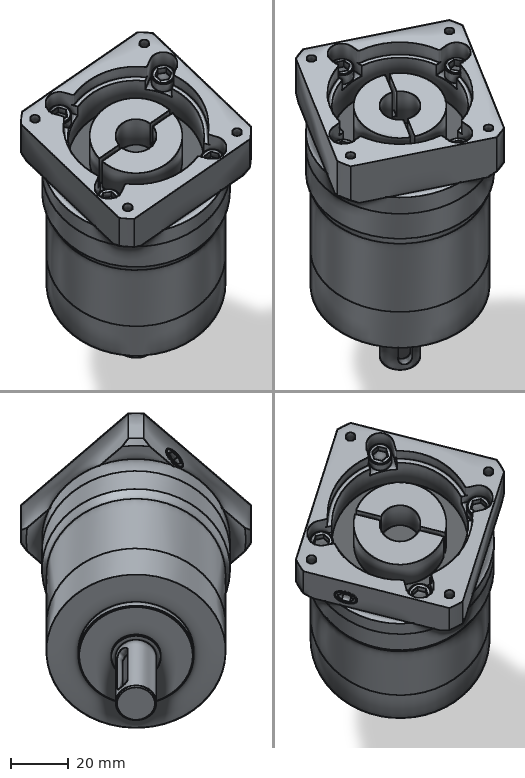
import cadquery as cq
import math


SHOULDER_BOTTOM = 31.0
PILOT_BOTTOM = 32.0
FLANGE_BOTTOM = 35.0
RING_BOTTOM = 52.4
FLARE_BOTTOM = 85.5
FLARE_TOP = 89.5
COLLAR_BOTTOM = 101.5
PLATE_BOTTOM = 109.5
TOP = 128.0

SHAFT_RADIUS = 7.0
SHOULDER_RADIUS = 8.6
PILOT_RADIUS = 20.0
BODY_RADIUS = 31.0
COLLAR_RADIUS = 32.5

SHAFT_CHAMFER = 0.5
PILOT_CHAMFER = 0.4
KEYWAY_WIDTH = 5.0
KEYWAY_DEPTH = 3.0
KEYWAY_LENGTH = 25.0
KEYWAY_CENTRE_Z = 15.5

PLATE_WIDTH = 59.9
PLATE_CORNER_RADIUS = 39.8
PLATE_CHAMFER = 1.9

UPPER_BORE_RADIUS = 25.1
LOWER_BORE_RADIUS = 23.5
BORE_STEP_DEPTH = 6.0
BORE_DEPTH = 21.1

MOTOR_HOLE_SPACING = 49.5
MOTOR_HOLE_RADIUS = 1.7
MOTOR_HOLE_DEPTH = 12.0
DRILL_POINT_ANGLE = 118.0

SCREW_COUNT = 4
SCREW_FIRST_ANGLE = 30.0
SCREW_CIRCLE_RADIUS = 28.0
POCKET_RADIUS = 4.9
POCKET_DEPTH = 11.0
POCKET_MOUTH_FILLET = 0.8
HEAD_RADIUS = 4.1
HEAD_HEIGHT = 4.7
HEAD_CHAMFER = 0.4
HEX_WIDTH = 5.0
HEX_DEPTH = 3.0

SIDE_SCREW_Y = 11.0
SIDE_SCREW_DEPTH = 11.9

HUB_RADIUS = 16.0
HUB_TOP_DEPTH = 6.0
HUB_BORE_RADIUS = 7.0
SLIT_WIDTH = 1.5
SLIT_STEP_RADIUS = 10.0
INNER_SLIT_DEPTH = 12.0

TOLERANCE = 0.01


def disc(radius, bottom, top):
    """Cylinder on the Z axis between two heights."""
    return cq.Workplane("XY", origin=(0, 0, bottom)).circle(radius).extrude(top - bottom)


def make_output_module():
    """Output flange with pilot, shaft shoulder and keyed shaft."""
    flange = disc(BODY_RADIUS, FLANGE_BOTTOM, RING_BOTTOM)
    pilot = disc(PILOT_RADIUS, PILOT_BOTTOM, FLANGE_BOTTOM).faces("<Z").chamfer(PILOT_CHAMFER)
    shoulder = disc(SHOULDER_RADIUS, SHOULDER_BOTTOM, PILOT_BOTTOM)
    shaft = disc(SHAFT_RADIUS, 0, SHOULDER_BOTTOM).faces("<Z").chamfer(SHAFT_CHAMFER)
    keyway = (
        cq.Workplane("XZ", origin=(0, SHAFT_RADIUS, KEYWAY_CENTRE_Z))
        .slot2D(KEYWAY_LENGTH, KEYWAY_WIDTH, 90)
        .extrude(KEYWAY_DEPTH)
    )
    return flange.union(pilot).union(shoulder).union(shaft).cut(keyway)


def make_ring_housing():
    """Solid ring gear housing that flares out to the collar radius."""
    profile = [
        (0, RING_BOTTOM),
        (BODY_RADIUS, RING_BOTTOM),
        (BODY_RADIUS, FLARE_BOTTOM),
        (COLLAR_RADIUS, FLARE_TOP),
        (COLLAR_RADIUS, COLLAR_BOTTOM),
        (0, COLLAR_BOTTOM),
    ]
    return cq.Workplane("XZ").polyline(profile).close().revolve(360, (0, 0), (0, 1))


def make_plate():
    """Square plate whose corners follow a turned disc with a chamfered lower edge."""
    square = (
        cq.Workplane("XY", origin=(0, 0, PLATE_BOTTOM))
        .rect(PLATE_WIDTH, PLATE_WIDTH)
        .extrude(TOP - PLATE_BOTTOM)
    )
    turned = disc(PLATE_CORNER_RADIUS, PLATE_BOTTOM, TOP).faces("<Z").chamfer(PLATE_CHAMFER)
    return square.intersect(turned)


def make_motor_hole_cutter():
    """Drilled hole with a conical end, its mouth at the origin."""
    point_depth = MOTOR_HOLE_RADIUS / math.tan(math.radians(DRILL_POINT_ANGLE / 2))
    profile = [
        (0, 0),
        (MOTOR_HOLE_RADIUS, 0),
        (MOTOR_HOLE_RADIUS, -MOTOR_HOLE_DEPTH),
        (0, -MOTOR_HOLE_DEPTH - point_depth),
    ]
    return cq.Workplane("XZ").polyline(profile).close().revolve(360, (0, 0), (0, 1))


def make_screw_pocket():
    """Round-ended pocket on the +X side, running inwards into the bore."""
    run = SCREW_CIRCLE_RADIUS - UPPER_BORE_RADIUS / 2
    floor = cq.Workplane("XY", origin=(SCREW_CIRCLE_RADIUS, 0, TOP - POCKET_DEPTH))
    round_end = floor.circle(POCKET_RADIUS).extrude(POCKET_DEPTH)
    passage = floor.center(-run / 2, 0).rect(run, 2 * POCKET_RADIUS).extrude(POCKET_DEPTH)
    return round_end.union(passage)


def is_pocket_mouth(edge):
    """True for an upright edge where a pocket wall meets the upper bore."""
    middle = edge.Center()
    on_upper_bore = abs(math.hypot(middle.x, middle.y) - UPPER_BORE_RADIUS) < TOLERANCE
    beside_upper_bore = abs(middle.z - (TOP - BORE_STEP_DEPTH / 2)) < TOLERANCE
    on_bore_seam = abs(middle.y) < TOLERANCE
    return on_upper_bore and beside_upper_bore and not on_bore_seam


def make_hex_socket():
    """Hexagonal cutter below the XY plane, with one pair of flats facing +Y and -Y."""
    corner_diameter = HEX_WIDTH / math.cos(math.pi / 6)
    return cq.Workplane("XY").polygon(6, corner_diameter).extrude(-HEX_DEPTH)


def make_screw_head():
    """Socket head whose top face lies on the XY plane."""
    head = cq.Workplane("XY").circle(HEAD_RADIUS).extrude(-HEAD_HEIGHT)
    return head.faces(">Z").chamfer(HEAD_CHAMFER).cut(make_hex_socket())


def make_hub():
    """Clamping hub standing on the bore floor, slit across along Y."""
    floor = TOP - BORE_DEPTH
    hub_top = TOP - HUB_TOP_DEPTH
    hub = disc(HUB_RADIUS, floor, hub_top).cut(disc(HUB_BORE_RADIUS, floor, hub_top))
    slit = (
        cq.Workplane("XY", origin=(0, 0, hub_top))
        .rect(SLIT_WIDTH, 2 * HUB_RADIUS)
        .extrude(floor - hub_top)
    )
    slit_step = disc(SLIT_STEP_RADIUS, floor, hub_top - INNER_SLIT_DEPTH)
    return hub.cut(slit.cut(slit_step))


def make_adapter_module():
    """Collar and motor plate, with the screws and the clamping hub in place."""
    adapter = disc(COLLAR_RADIUS, COLLAR_BOTTOM, PLATE_BOTTOM).union(make_plate())

    adapter = adapter.cut(disc(UPPER_BORE_RADIUS, TOP - BORE_STEP_DEPTH, TOP))
    adapter = adapter.cut(disc(LOWER_BORE_RADIUS, TOP - BORE_DEPTH, TOP))

    motor_hole = make_motor_hole_cutter()
    half_spacing = MOTOR_HOLE_SPACING / 2
    for x in (-half_spacing, half_spacing):
        for y in (-half_spacing, half_spacing):
            adapter = adapter.cut(motor_hole.translate((x, y, TOP)))

    screw_angles = [SCREW_FIRST_ANGLE + i * 360 / SCREW_COUNT for i in range(SCREW_COUNT)]
    pocket = make_screw_pocket()
    head_top = TOP - POCKET_DEPTH + HEAD_HEIGHT
    screw = make_screw_head().rotate((0, 0, 0), (0, 0, 1), 90 - SCREW_FIRST_ANGLE)
    screw = screw.translate((SCREW_CIRCLE_RADIUS, 0, head_top))
    for angle in screw_angles:
        adapter = adapter.cut(pocket.rotate((0, 0, 0), (0, 0, 1), angle))
    adapter = adapter.edges("|Z").filter(is_pocket_mouth).fillet(POCKET_MOUTH_FILLET)
    for angle in screw_angles:
        adapter = adapter.union(screw.rotate((0, 0, 0), (0, 0, 1), angle))

    side_place = (-PLATE_WIDTH / 2, SIDE_SCREW_Y, TOP - SIDE_SCREW_DEPTH)
    side_hole = cq.Workplane("YZ", origin=side_place).circle(HEAD_RADIUS).extrude(HEAD_HEIGHT)
    side_screw = make_screw_head().rotate((0, 0, 0), (0, 0, 1), 90).rotate((0, 0, 0), (0, 1, 0), -90)
    adapter = adapter.cut(side_hole).union(side_screw.translate(side_place))
    return adapter.union(make_hub())


output_module = make_output_module()
ring_housing = make_ring_housing()
adapter_module = make_adapter_module()

result = cq.Compound.makeCompound([output_module.val(), ring_housing.val(), adapter_module.val()])